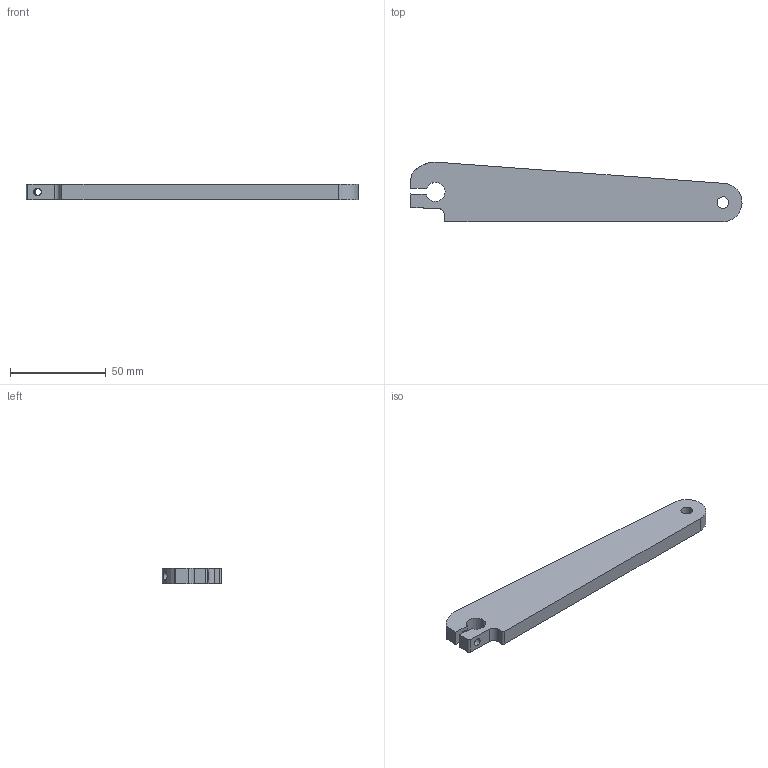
import math

import cadquery as cq


thickness = 8.0
hole_spacing = 150.0

clamp_end_radius = 15.53
bore_diameter = 10.0
clamp_face_x = -13.0
slot_width = 3.1

pivot_end_radius = 10.0
pivot_hole_diameter = 6.0

jaw_underside_y = -8.6
relief_wall_x = 5.0
relief_corner_radius = 3.0

screw_hole_diameter = 4.0
screw_hole_x = -7.0

edge_round_radius = 1.0

taper_angle = math.asin((clamp_end_radius - pivot_end_radius) / hole_spacing)


upper_corner = (clamp_face_x, math.sqrt(clamp_end_radius**2 - clamp_face_x**2))
jaw_corner = (clamp_face_x, jaw_underside_y)
relief_inner_corner = (relief_wall_x, jaw_underside_y)
relief_outer_corner = (
    relief_wall_x,
    (relief_wall_x * math.sin(taper_angle) - clamp_end_radius) / math.cos(taper_angle),
)


def arc_point(center_x, radius, angle):
    """Point on an arc centred on the arm's centre line."""
    return (center_x + radius * math.cos(angle), radius * math.sin(angle))


def arm_blank():
    """Plate with sharp clamp-end corners; its long edges are tangent to the two end arcs."""
    tangent_angle = math.pi / 2 - taper_angle
    corner_angle = math.atan2(upper_corner[1], upper_corner[0])
    middle_angle = (tangent_angle + corner_angle) / 2
    return (
        cq.Workplane("XY")
        .moveTo(*arc_point(hole_spacing, pivot_end_radius, -tangent_angle))
        .threePointArc(
            arc_point(hole_spacing, pivot_end_radius, 0),
            arc_point(hole_spacing, pivot_end_radius, tangent_angle),
        )
        .lineTo(*arc_point(0, clamp_end_radius, tangent_angle))
        .threePointArc(arc_point(0, clamp_end_radius, middle_angle), upper_corner)
        .lineTo(*jaw_corner)
        .lineTo(*relief_inner_corner)
        .lineTo(*relief_outer_corner)
        .close()
        .extrude(thickness)
    )


def round_corner(body, corner, radius):
    """Round the upright edge standing on an outline corner."""
    edge = cq.selectors.NearestToPointSelector((*corner, thickness / 2))
    return body.edges("|Z").edges(edge).fillet(radius)


def round_corners(body):
    """Fillet the relief's inner corner and break the outer corners of the clamp end."""
    body = round_corner(body, relief_inner_corner, relief_corner_radius)
    for corner in (upper_corner, jaw_corner, relief_outer_corner):
        body = round_corner(body, corner, edge_round_radius)
    return body


def cut_holes(body):
    """Bore, clamping slot, pivot hole and cross hole for the clamp screw."""
    bore = cq.Workplane("XY").circle(bore_diameter / 2).extrude(thickness)
    slot = (
        cq.Workplane("XY")
        .center(clamp_face_x / 2, 0)
        .rect(-clamp_face_x, slot_width)
        .extrude(thickness)
    )
    pivot_hole = (
        cq.Workplane("XY")
        .center(hole_spacing, 0)
        .circle(pivot_hole_diameter / 2)
        .extrude(thickness)
    )
    screw_hole = (
        cq.Workplane("XZ")
        .center(screw_hole_x, thickness / 2)
        .circle(screw_hole_diameter / 2)
        .extrude(clamp_end_radius, both=True)
    )
    return body.cut(bore).cut(slot).cut(pivot_hole).cut(screw_hole)


arm = cut_holes(round_corners(arm_blank()))
result = arm.rotate((0, 0, 0), (0, 0, 1), -math.degrees(taper_angle))